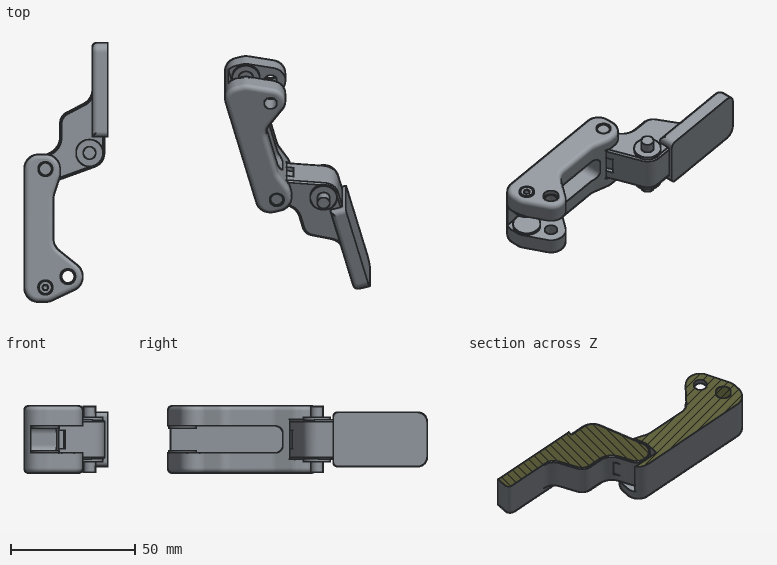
import cadquery as cq


handle_length = 59.6
handle_half_height = 13.6
corner_radius = 6.0
handle_rim_fillet = 2.0
head_width = 14.5
head_bottom = 50.8
waist_width = 11.9
waist_top = 42.8
waist_bottom = 22.7
foot_width = 9.9
hook_tip = (28.9, 9.0)
pocket_floor = 2.6
pocket_half_height = 5.4
pocket_end = 46.4
pocket_corner_radius = 3.2
link_cavity_start = 47.1
link_cavity_reach = 6.1
link_clearance = 0.1

axis_x = head_width - corner_radius
pivot = (axis_x, handle_length - corner_radius)
screw_axis = (axis_x, corner_radius)
hook_hole = (17.7, 10.3)
stub = (26.3, 60.1)
arm_angle = 20.0

hook_hole_diameter = 5.1
hook_counterbore_diameter = 6.2
hook_counterbore_depth = 2.0
screw_boss_radius = 5.5
screw_boss_height = 0.9

screw_diameter = 6.0
screw_chamfer = 0.4
socket_circle = 2.5
socket_depth = 0.5
socket_cone_radius = 1.0
socket_cone_depth = 0.6

link_half_height = 7.9
hub_left = pocket_floor
rib_left = 14.4
root_top = 88.9
rib_root = 81.7
rib_top = 75.0
elbow = 62.2
hub_top = 56.1
arm_bottom = 55.9
hub_bottom = 45.2
link_chamfer = 0.7
hub_radius = 5.2
elbow_radius = 7.0
rib_radius = 5.0
rib_root_radius = 6.0
stub_radius = 6.1
arm_right = stub[0] + stub_radius
pin_diameter = 5.0
pin_half_length = 13.3
pin_hole_chamfer = 0.4
collar_radius = 5.4
collar_half_height = 9.0
relief_half_height = 3.7
relief_reach = 6.3
web_lower = -4.3
web_upper = 5.4

plate_left = 27.4
plate_right = 33.8
plate_bottom = 66.6
plate_top = 104.5
plate_half_height = 11.0
plate_corner_radius = 4.0
plate_rim_fillet = 2.0


def prism(outline, half_height):
    """Extrude a closed polygon equally above and below the middle plane."""
    return cq.Workplane("XY").polyline(outline).close().extrude(half_height, both=True)


def block(x_range, y_range, half_height):
    """Box between two X and two Y limits, centred on the middle plane."""
    (x0, x1), (y0, y1) = x_range, y_range
    return prism([(x0, y0), (x1, y0), (x1, y1), (x0, y1)], half_height)


def cylinder(centre, radius, bottom, top):
    """Vertical cylinder between two heights."""
    return cq.Workplane("XY", origin=(*centre, bottom)).circle(radius).extrude(top - bottom)


def round_corner(body, corner, radius):
    """Round the vertical edge that stands on an outline corner."""
    reach = 0.05
    x, y = corner
    tall = handle_half_height
    near = cq.selectors.BoxSelector((x - reach, y - reach, -tall), (x + reach, y + reach, tall))
    return body.edges("|Z").edges(near).fillet(radius)


def turn_with_arm(body):
    """Move a body drawn around the origin to the pivot and tilt it by the slope of the arm."""
    return body.rotate((0, 0, 0), (0, 0, 1), arm_angle).translate((*pivot, 0))


def make_handle():
    outline = [
        (0, 0),
        (foot_width, 0),
        hook_tip,
        (waist_width, waist_bottom),
        (waist_width, waist_top),
        (head_width, head_bottom),
        (head_width, handle_length),
        (0, handle_length),
    ]
    handle = prism(outline, handle_half_height).edges("|Z").fillet(corner_radius)
    handle = handle.faces("<Z or >Z").edges().fillet(handle_rim_fillet)

    beyond = 41.8
    pocket = block((pocket_floor, beyond), (-beyond, pocket_end), pocket_half_height)
    pocket = pocket.faces(">Y").edges("|X").fillet(pocket_corner_radius)

    gap_half_height = pocket_half_height - screw_boss_height
    bosses = cylinder(screw_axis, screw_boss_radius, gap_half_height, pocket_half_height)
    bosses = bosses.union(bosses.mirror("XY"))
    handle = handle.cut(pocket.cut(bosses))

    cavity_half_height = link_half_height + link_clearance
    cavity_left = pocket_floor - link_clearance
    cavity = block((cavity_left, beyond), (link_cavity_start, handle_length), cavity_half_height)
    above_arm_side = block((-beyond, beyond), (-link_cavity_reach, beyond), cavity_half_height)
    handle = handle.cut(cavity.intersect(turn_with_arm(above_arm_side)))

    handle = handle.cut(cylinder(pivot, pin_diameter / 2, -handle_half_height, handle_half_height))
    for end in (-1, 1):
        rim = cq.Solid.makeCone(
            pin_diameter / 2 + pin_hole_chamfer,
            pin_diameter / 2,
            pin_hole_chamfer,
            cq.Vector(*pivot, end * handle_half_height),
            cq.Vector(0, 0, -end),
        )
        handle = handle.cut(cq.Workplane(rim))

    handle = handle.cut(
        cylinder(hook_hole, hook_hole_diameter / 2, -handle_half_height, handle_half_height)
    )
    counterbore_floor = handle_half_height - hook_counterbore_depth
    handle = handle.cut(
        cylinder(hook_hole, hook_counterbore_diameter / 2, counterbore_floor, handle_half_height)
    )

    return handle.cut(cylinder(screw_axis, screw_diameter / 2, gap_half_height, handle_half_height))


def make_plate():
    plate = block((plate_left, plate_right), (plate_bottom, plate_top), plate_half_height)
    plate = plate.faces(">Y").edges("|X").fillet(plate_corner_radius)
    lower_edges = plate.faces("<Y").edges("|X").vals()
    bottom_edge = plate.faces("<X").edges("<Y").val()
    left_rim = [edge for edge in plate.faces("<X").edges().vals() if not edge.isSame(bottom_edge)]
    return plate.newObject(left_rim + lower_edges).fillet(plate_rim_fillet)


def make_link():
    rounded = [
        ((hub_left, hub_bottom), hub_radius),
        ((arm_right, arm_bottom), stub_radius),
        ((plate_left, rib_root), rib_root_radius),
        ((rib_left, rib_top), rib_radius),
        ((rib_left, elbow), elbow_radius),
        ((hub_left, hub_top), hub_radius),
    ]
    corners = [corner for corner, radius in rounded]
    outline = corners[:2] + [(arm_right, root_top), (plate_left, root_top)] + corners[2:]
    link = prism(outline, link_half_height)
    for corner, radius in rounded:
        link = round_corner(link, corner, radius)
    link = link.faces("<Z or >Z").chamfer(link_chamfer)

    beyond = 10.5
    for side_range in ((-beyond, web_lower), (web_upper, beyond)):
        relief = block((-beyond, relief_reach), side_range, relief_half_height)
        link = link.cut(turn_with_arm(relief))

    link = link.union(cylinder(pivot, pin_diameter / 2, -pin_half_length, pin_half_length))
    link = link.union(cylinder(stub, collar_radius, -collar_half_height, collar_half_height))
    link = link.union(cylinder(stub, pin_diameter / 2, -pin_half_length, pin_half_length))
    return link.union(make_plate())


def make_screw():
    tip = pocket_half_height - screw_boss_height
    screw = cylinder(screw_axis, screw_diameter / 2, tip, handle_half_height)
    screw = screw.faces(">Z").chamfer(screw_chamfer)
    socket = (
        cq.Workplane("XY", origin=(*screw_axis, handle_half_height))
        .polygon(6, socket_circle)
        .extrude(-socket_depth)
    )
    cone = cq.Solid.makeCone(
        socket_cone_radius,
        0,
        socket_cone_depth,
        cq.Vector(*screw_axis, handle_half_height - socket_depth),
        cq.Vector(0, 0, -1),
    )
    return screw.cut(socket).cut(cq.Workplane(cone))


handle = make_handle()
link = make_link()
screw = make_screw()

result = cq.Compound.makeCompound([handle.val(), link.val(), screw.val()])